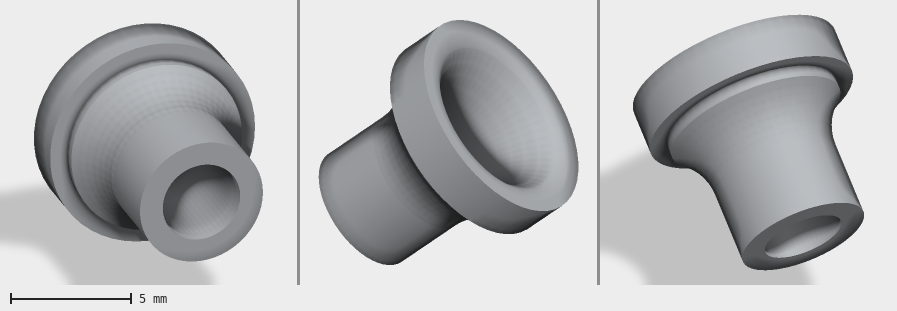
import cadquery as cq
import math

total_length = 8.0

flange_diameter = 9.0
flange_thickness = 2.0
collar_diameter = 7.5
collar_length = 0.5
tube_diameter = 5.4
neck_radius = 3.0

mouth_diameter = 8.0
lip_radius = 1.0
bell_radius = 5.0
bore_diameter = 3.4

flange_r = flange_diameter / 2
collar_r = collar_diameter / 2
tube_r = tube_diameter / 2
mouth_r = mouth_diameter / 2
bore_r = bore_diameter / 2


def point_on_arc(center, radius, angle):
    """Point on a circle in the (axial, radial) half plane, angle in radians from +X."""
    return (center[0] + radius * math.cos(angle), center[1] + radius * math.sin(angle))


def arc_middle(center, radius, start, end):
    """Point on a short arc, halfway between its two end points."""
    chord_x = (start[0] + end[0]) / 2 - center[0]
    chord_r = (start[1] + end[1]) / 2 - center[1]
    return point_on_arc(center, radius, math.atan2(chord_r, chord_x))


def outer_body():
    """Solid flange, collar, concave neck and tube."""
    collar_end_x = flange_thickness + collar_length
    neck_center_r = tube_r + neck_radius
    neck_length = math.sqrt(neck_radius**2 - (neck_center_r - collar_r) ** 2)
    neck_start = (collar_end_x, collar_r)
    neck_end = (collar_end_x + neck_length, tube_r)
    neck_center = (neck_end[0], neck_center_r)
    profile = (
        cq.Workplane("XY")
        .lineTo(0, flange_r)
        .lineTo(flange_thickness, flange_r)
        .lineTo(flange_thickness, collar_r)
        .lineTo(*neck_start)
        .threePointArc(arc_middle(neck_center, neck_radius, neck_start, neck_end), neck_end)
        .lineTo(total_length, tube_r)
        .lineTo(total_length, 0)
        .close()
    )
    return profile.revolve(360, (0, 0, 0), (1, 0, 0))


def flow_passage():
    """Bell mouth of two tangent arcs running smoothly into the straight bore."""
    lip_center = (lip_radius, mouth_r)
    bell_center_r = bore_r + bell_radius
    center_distance = bell_radius - lip_radius
    center_offset_r = bell_center_r - mouth_r
    bell_center_x = lip_radius + math.sqrt(center_distance**2 - center_offset_r**2)
    bell_center = (bell_center_x, bell_center_r)
    joint_angle = math.atan2(-center_offset_r, lip_center[0] - bell_center_x)

    mouth_edge = (0, mouth_r)
    joint = point_on_arc(lip_center, lip_radius, joint_angle)
    throat = (bell_center_x, bore_r)
    profile = (
        cq.Workplane("XY")
        .lineTo(*mouth_edge)
        .threePointArc(arc_middle(lip_center, lip_radius, mouth_edge, joint), joint)
        .threePointArc(arc_middle(bell_center, bell_radius, joint, throat), throat)
        .lineTo(total_length, bore_r)
        .lineTo(total_length, 0)
        .close()
    )
    return profile.revolve(360, (0, 0, 0), (1, 0, 0))


result = outer_body().cut(flow_passage())